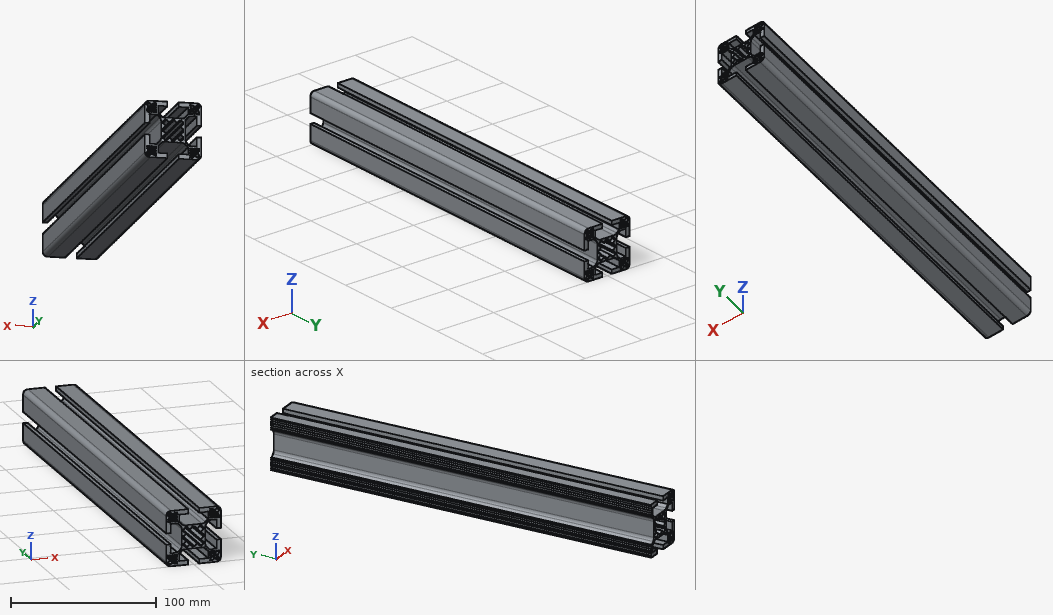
import cadquery as cq

length = 300.0
width = 40.0
half_width = width / 2
corner_radius = 3.5

slot_opening = 8.0
lip_thickness = 3.3
box_inner_face = 10.5

box_wall = 1.5
box_hollow_chamfer = 1.0
outer_tooth_depth = 1.2
outer_tooth_width = 3.5
inner_tooth_depth = 1.0
inner_tooth_width = 1.5
inner_tooth_pitch = 1.8

core_width = 17.0
core_wall = 1.35
core_bore_chamfer = 1.5
core_tooth_depth = 2.0
core_tooth_width = 4.0
core_tooth_pitch = 5.5

web_thickness = 1.5
web_root_radius = 3.5


def profile_plane():
    """Sketch plane with local x along X and local y along Z."""
    return cq.Workplane("XZ")


def extrude_profile(sketch):
    """Extrude a closed profile along the whole length, centred on Y."""
    return sketch.extrude(length / 2, both=True)


def square_bar(side, centre=0.0):
    """Square bar whose centre lies at the same distance along X and Z."""
    return extrude_profile(profile_plane().center(centre, centre).rect(side, side))


def turn(body, angle):
    """Rotate a body about the long axis."""
    return body.rotate((0, 0, 0), (0, 1, 0), angle)


def four_around(body):
    """Repeat a body at every quarter turn about the long axis."""
    copies = body
    for quarter in range(1, 4):
        copies = copies.union(turn(body, 90 * quarter))
    return copies


def tooth(centre_x, base_z, width_at_base, rise):
    """Triangular tooth along the length, standing on a wall at height base_z."""
    half_base = width_at_base / 2
    points = [
        (centre_x - half_base, base_z),
        (centre_x + half_base, base_z),
        (centre_x, base_z + rise),
    ]
    return extrude_profile(profile_plane().polyline(points).close())


def mirror_on_diagonal(body):
    """Swap X and Z by mirroring in the plane X = Z."""
    return turn(body.mirror("YZ"), 90)


def box_hollow():
    """Toothed hollow of the corner box in the +X +Z quarter."""
    low = box_inner_face + box_wall
    high = half_width - box_wall
    middle = (low + high) / 2
    hollow = square_bar(high - low, middle)
    hollow = hollow.edges("|Y and >X and >Z").chamfer(box_hollow_chamfer)

    teeth = tooth(middle, high, outer_tooth_width, -outer_tooth_depth)
    for side in (-1, 1):
        centre_x = middle + side * inner_tooth_pitch / 2
        teeth = teeth.union(tooth(centre_x, low, inner_tooth_width, inner_tooth_depth))
    return hollow.cut(teeth).cut(mirror_on_diagonal(teeth))


def corner_box():
    """Corner box in the +X +Z quarter with its two slot lips."""
    slot_edge = slot_opening / 2
    lip_inner_face = half_width - lip_thickness
    outline = [
        (slot_edge, half_width),
        (half_width, half_width),
        (half_width, slot_edge),
        (lip_inner_face, slot_edge),
        (lip_inner_face, box_inner_face),
        (box_inner_face, box_inner_face),
        (box_inner_face, lip_inner_face),
        (slot_edge, lip_inner_face),
    ]
    body = extrude_profile(profile_plane().polyline(outline).close())
    outer_edge = cq.selectors.NearestToPointSelector((half_width, 0, half_width))
    return body.edges("|Y").edges(outer_edge).fillet(corner_radius).cut(box_hollow())


def web():
    """Diagonal web in the +X +Z quarter, sunk into the tube and the box."""
    start = core_width / 2 - core_wall / 2
    end = box_inner_face + box_wall / 2
    diagonal = 2 ** 0.5
    web_length = (end - start) * diagonal
    web_centre = (end + start) / 2 * diagonal
    bar = extrude_profile(profile_plane().center(web_centre, 0).rect(web_length, web_thickness))
    return turn(bar, -45)


def core():
    """Central square tube with a toothed bore, and the webs blended onto it."""
    tube = square_bar(core_width).union(four_around(web()))
    wall = core_width / 2
    root = wall - web_thickness / 2 ** 0.5
    for x, z in ((root, wall), (wall, root)):
        for x_side in (-1, 1):
            for z_side in (-1, 1):
                edge = cq.selectors.NearestToPointSelector((x_side * x, 0, z_side * z))
                tube = tube.edges("|Y").edges(edge).fillet(web_root_radius)

    bore_width = core_width - 2 * core_wall
    bore = square_bar(bore_width).edges("|Y").chamfer(core_bore_chamfer)
    for side in (-1, 1):
        centre_x = side * core_tooth_pitch / 2
        bore = bore.cut(four_around(tooth(centre_x, -bore_width / 2, core_tooth_width, core_tooth_depth)))
    return tube.cut(bore)


result = core().union(four_around(corner_box()))